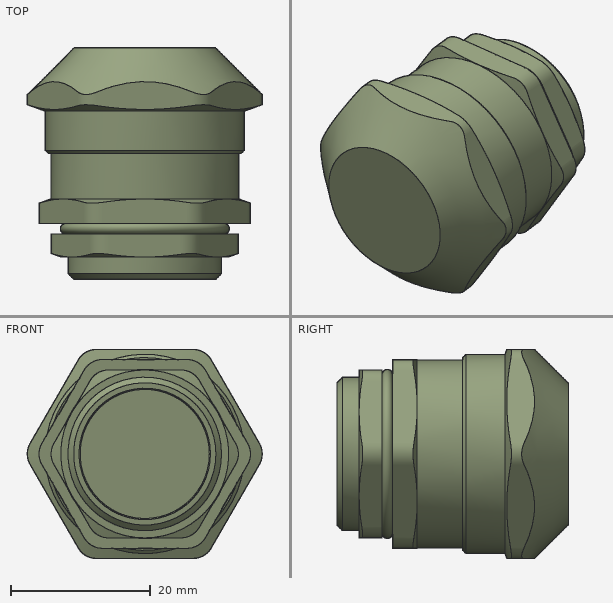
import cadquery as cq
import math


THREAD_CHAMFER = 0.8
NUT_START = 3.2
NUT_END = 6.5
FLANGE_START = 8.0
FLANGE_END = 11.53
COLLAR_START = 18.05
CAP_START = 24.1
LENGTH = 33.25

THREAD_RADIUS = 22.0 / 2
BODY_RADIUS = 27.0 / 2
COLLAR_RADIUS = 28.6 / 2
COLLAR_CHAMFER = 0.47
SEAL_RADIUS = 12.15
CAP_FACE_RADIUS = 10.1

NUT_FLATS = 24.07
FLANGE_FLATS = 27.07
CAP_FLATS = 30.0
CORNER_RADIUS = 3.05
HEX_CHAMFER_ANGLE = 20.0

BORE_RADIUS = 18.5 / 2
MOUTH_CHAMFER = 0.17
BORE_DEPTH = 3.2


def revolve(profile):
    """Revolve (radius, y) points about the Y axis."""
    return cq.Workplane("XY").polyline(profile).close().revolve(360, (0, 0, 0), (0, 1, 0))


def cylinder(radius, start, end):
    return revolve([(0, start), (radius, start), (radius, end), (0, end)])


def hexagon(flats, start, end):
    """Prism with rounded corners, two of them on the X axis."""
    corner_diameter = flats / math.cos(math.radians(30))
    prism = cq.Workplane("XZ", origin=(0, start, 0)).polygon(6, corner_diameter).extrude(start - end)
    return prism.edges("|Y").fillet(CORNER_RADIUS)


def chamfer_rise(flats, face_radius):
    """Axial height of a corner chamfer from its face circle out to the sharp corner."""
    corner_radius = flats / 2 / math.cos(math.radians(30))
    rise = (corner_radius - face_radius) * math.tan(math.radians(HEX_CHAMFER_ANGLE))
    return corner_radius, rise


def lock_nut():
    face_radius = NUT_FLATS / 2
    corner, rise = chamfer_rise(NUT_FLATS, face_radius)
    envelope = revolve([
        (0, NUT_START), (face_radius, NUT_START), (corner, NUT_START + rise),
        (corner, NUT_END), (0, NUT_END),
    ])
    return hexagon(NUT_FLATS, NUT_START, NUT_END).intersect(envelope)


def flange():
    corner, rise = chamfer_rise(FLANGE_FLATS, BODY_RADIUS)
    envelope = revolve([
        (0, FLANGE_START), (corner, FLANGE_START), (corner, FLANGE_END - rise),
        (BODY_RADIUS, FLANGE_END), (0, FLANGE_END),
    ])
    return hexagon(FLANGE_FLATS, FLANGE_START, FLANGE_END).intersect(envelope)


def cap():
    """Hexagonal cap with a 45 degree cone behind and a shallow chamfer in front."""
    corner, rise = chamfer_rise(CAP_FLATS, COLLAR_RADIUS)
    cone_start = LENGTH - (corner - CAP_FACE_RADIUS)
    envelope = revolve([
        (0, CAP_START), (COLLAR_RADIUS, CAP_START), (corner, CAP_START + rise),
        (corner, cone_start), (CAP_FACE_RADIUS, LENGTH), (0, LENGTH),
    ])
    return hexagon(CAP_FLATS, CAP_START, LENGTH).intersect(envelope)


def threaded_end():
    return cylinder(THREAD_RADIUS, 0, FLANGE_START).faces("<Y").chamfer(THREAD_CHAMFER)


def seal():
    """O-ring filling the gap between the lock nut and the flange."""
    section_radius = (FLANGE_START - NUT_END) / 2
    middle = (NUT_END + FLANGE_START) / 2
    centre_radius = SEAL_RADIUS - section_radius
    half_section = (
        cq.Workplane("XY").moveTo(0, NUT_END).lineTo(centre_radius, NUT_END)
        .threePointArc((SEAL_RADIUS, middle), (centre_radius, FLANGE_START))
        .lineTo(0, FLANGE_START).close()
    )
    return half_section.revolve(360, (0, 0, 0), (0, 1, 0))


def collar():
    ring = cylinder(COLLAR_RADIUS, COLLAR_START, CAP_START)
    return ring.faces("<Y").chamfer(COLLAR_CHAMFER)


def bore():
    """Blind bore with a small 45 degree chamfer at its mouth."""
    return revolve([
        (0, 0), (BORE_RADIUS + MOUTH_CHAMFER, 0), (BORE_RADIUS, MOUTH_CHAMFER),
        (BORE_RADIUS, BORE_DEPTH), (0, BORE_DEPTH),
    ])


body = cylinder(BODY_RADIUS, FLANGE_END, COLLAR_START)
result = threaded_end()
for part in (lock_nut(), seal(), flange(), body, collar(), cap()):
    result = result.union(part)
result = result.cut(bore())